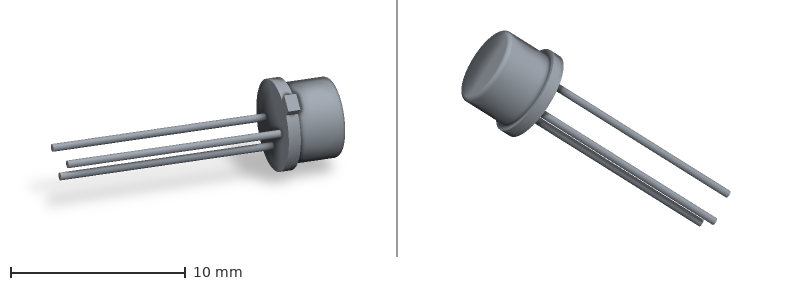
import cadquery as cq
import math

TOTAL_LENGTH = 16.6

FLANGE_DIAMETER = 5.4
FLANGE_THICKNESS = 0.73
TAB_WIDTH = 1.01
TAB_REACH = 3.22
TAB_ANGLE = 45.0

LEAD_DIAMETER = 0.45
LEAD_CIRCLE_RADIUS = 1.27
LEAD_ANGLES = (0.0, 180.0, 270.0)

CAP_DIAMETER = 4.7
CAP_HEIGHT = 2.9
CAP_EDGE_RADIUS = 0.25

LEAD_LENGTH = TOTAL_LENGTH - CAP_HEIGHT - FLANGE_THICKNESS


def make_header():
    """Flange from y = 0 to its thickness, with the leads running towards -Y."""
    flange = cq.Workplane("XZ").circle(FLANGE_DIAMETER / 2).extrude(-FLANGE_THICKNESS)
    tab = (
        cq.Workplane("XZ")
        .transformed(rotate=(0, 0, TAB_ANGLE))
        .center(TAB_REACH / 2, 0)
        .rect(TAB_REACH, TAB_WIDTH)
        .extrude(-FLANGE_THICKNESS)
    )
    header = flange.union(tab)
    for angle in LEAD_ANGLES:
        header = header.union(make_lead(angle))
    return header


def make_lead(angle):
    """Straight round lead at the given angle on the lead circle."""
    x = LEAD_CIRCLE_RADIUS * math.cos(math.radians(angle))
    z = LEAD_CIRCLE_RADIUS * math.sin(math.radians(angle))
    return cq.Workplane("XZ").center(x, z).circle(LEAD_DIAMETER / 2).extrude(LEAD_LENGTH)


def make_cap():
    """Cylindrical cap seated on the back of the flange, its far edge rounded."""
    return (
        cq.Workplane("XZ", origin=(0, FLANGE_THICKNESS, 0))
        .circle(CAP_DIAMETER / 2)
        .extrude(-CAP_HEIGHT)
        .faces(">Y")
        .edges()
        .fillet(CAP_EDGE_RADIUS)
    )


header = make_header()
cap = make_cap()

result = cq.Compound.makeCompound([header.val(), cap.val()])